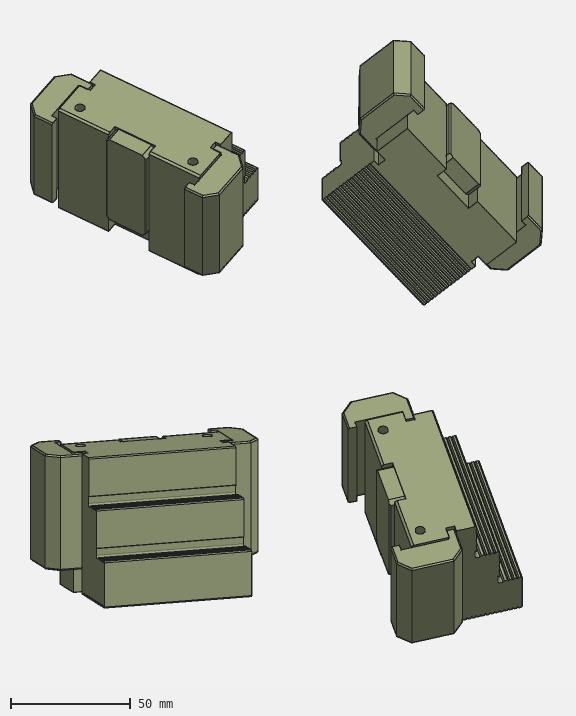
import cadquery as cq
import math

BODY_DEPTH = 48.9
BODY_HEIGHT = 60.0
BODY_WIDTH = 70.0
REAR_WIDTH = 65.0
STEP_DEPTH = 10.0
STEP_HEIGHT = BODY_HEIGHT / 3
STEP_COUNT = 2
EDGE_CHAMFER = 0.6
FRONT_CHAMFER_DEPTH = 1.1
FRONT_CHAMFER_DROP = 0.7

GROOVE_PITCH = STEP_DEPTH / 5
GROOVE_WIDTH = 1.0
GROOVE_DEPTH = 0.75
STEP_GROOVES = 3
BASE_GROOVES = 13

RELIEF_START = 7.7
RELIEF_SLANT = 0.7
RELIEF_UNDERCUT = 0.6
RELIEF_RISE = 3.4
RELIEF_RADIUS = 1.1

NOTCH_SPAN = 59.7
NOTCH_FRONT = 16.6
NOTCH_BACK = 20.3
HOLE_DIAMETER = 4.1
HOLE_SPACING = 56.1
HOLE_FRONT_DISTANCE = 5.9
HOLE_DEPTH = 2 * HOLE_DIAMETER
DRILL_POINT_ANGLE = 118

SLOT_WIDTH = 20.0
SLOT_DEPTH = 4.9
KEY_FRONT = -2.2
KEY_TOP = 59.5
KEY_HEIGHT = 49.1
KEY_CORNER_CHAMFER = 1.9
KEY_EDGE_CHAMFER = 0.6

PLATE_DEPTH = 28.5
PLATE_TOP = 59.7
PLATE_HEIGHT = 49.1
PLATE_CORNER_CHAMFER = 5.1
PLATE_EDGE_CHAMFER = 0.7
LUG_REACH = 16.0
LIP_REACH = 14.0
WEB_THICKNESS = 11.4
LUG_THICKNESS = 4.1
LIP_THICKNESS = 3.8
PLATE_OUTER = 47.05
LEFT_BACK = 20.7
RIGHT_BACK = 20.2


def extrude_along_x(points, width):
    """Prism of a (Y, Z) outline, centred on X = 0."""
    return cq.Workplane("YZ").polyline(points).close().extrude(width / 2, both=True)


def step_corner(level):
    """Y of the rear face and Z of the tread for a step counted from the bottom."""
    return BODY_DEPTH - level * STEP_DEPTH, (level + 1) * STEP_HEIGHT


def stepped_prism():
    """Body silhouette with chamfered rear corners, extruded to the full width."""
    points = [(0, 0), (BODY_DEPTH - EDGE_CHAMFER, 0), (BODY_DEPTH, EDGE_CHAMFER)]
    for level in range(STEP_COUNT + 1):
        rear, tread = step_corner(level)
        points += [(rear, tread - EDGE_CHAMFER), (rear - EDGE_CHAMFER, tread)]
        if level < STEP_COUNT:
            points.append((rear - STEP_DEPTH, tread))
    points += [(FRONT_CHAMFER_DEPTH, BODY_HEIGHT), (0, BODY_HEIGHT - FRONT_CHAMFER_DROP)]
    return extrude_along_x(points, BODY_WIDTH)


def cut_grooves(body, rear, level, inward, count):
    """Row of V grooves in a horizontal face; inward is +1 or -1 along Z."""
    for index in range(1, count + 1):
        centre = rear - index * GROOVE_PITCH
        groove = [
            (centre - GROOVE_WIDTH / 2, level),
            (centre, level + inward * GROOVE_DEPTH),
            (centre + GROOVE_WIDTH / 2, level),
        ]
        body = body.cut(extrude_along_x(groove, BODY_WIDTH))
    return body


def cut_relief(body, rear, tread):
    """Undercut at the foot of the wall that rises from a tread."""
    mouth = rear - RELIEF_START
    wall = rear - STEP_DEPTH - RELIEF_UNDERCUT
    floor = tread - GROOVE_DEPTH
    relief = extrude_along_x(
        [
            (mouth, tread),
            (mouth - RELIEF_SLANT, floor),
            (wall, floor),
            (wall, tread + RELIEF_RISE),
            (rear - STEP_DEPTH, tread + RELIEF_RISE),
            (rear - STEP_DEPTH, tread),
        ],
        BODY_WIDTH,
    )
    relief = relief.edges("|X").edges("<Y").edges("<Z").fillet(RELIEF_RADIUS)
    return body.cut(relief)


def cut_sides(body):
    """Narrow the stepped rear part and cut the notches that take the plate lugs."""
    for side in (-1, 1):
        for span, front, back in (
            (REAR_WIDTH, NOTCH_FRONT, BODY_DEPTH),
            (NOTCH_SPAN, NOTCH_FRONT, NOTCH_BACK),
        ):
            thickness = (BODY_WIDTH - span) / 2
            size = (thickness, back - front, BODY_HEIGHT)
            waste = cq.Workplane("XY").box(*size, centered=(True, False, False))
            body = body.cut(waste.translate((side * (span + thickness) / 2, front, 0)))
    return body


def drill_holes(body):
    """Blind holes with conical bottoms in the top face."""
    radius = HOLE_DIAMETER / 2
    tip_length = radius / math.tan(math.radians(DRILL_POINT_ANGLE / 2))
    half_section = [(0, -tip_length), (radius, 0), (radius, HOLE_DEPTH), (0, HOLE_DEPTH)]
    drill = cq.Workplane("XZ").polyline(half_section).close().revolve(360, (0, 0, 0), (0, 1, 0))
    for side in (-1, 1):
        place = (side * HOLE_SPACING / 2, HOLE_FRONT_DISTANCE, BODY_HEIGHT - HOLE_DEPTH)
        body = body.cut(drill.translate(place))
    return body


def make_body():
    """Stepped jaw with grooved faces, side notches, front slot and blind holes."""
    body = stepped_prism()
    for level in range(STEP_COUNT):
        rear, tread = step_corner(level)
        body = cut_grooves(body, rear, tread, -1, STEP_GROOVES)
        body = cut_relief(body, rear, tread)
    body = cut_grooves(body, BODY_DEPTH, 0, 1, BASE_GROOVES)
    body = cut_sides(body)
    slot = cq.Workplane("XY").box(SLOT_WIDTH, 2 * SLOT_DEPTH, BODY_HEIGHT, centered=(True, True, False))
    return drill_holes(body.cut(slot))


def make_key():
    """Block seated in the front slot, with cut corners and chamfered front side edges."""
    depth = SLOT_DEPTH - KEY_FRONT
    key = cq.Workplane("XY").box(SLOT_WIDTH, depth, KEY_HEIGHT, centered=(True, False, False))
    key = key.edges("|Y").chamfer(KEY_CORNER_CHAMFER)
    key = key.faces("<Y").edges("|Z").chamfer(KEY_EDGE_CHAMFER)
    return key.translate((0, KEY_FRONT, KEY_TOP - KEY_HEIGHT))


def make_plate(back):
    """Clamp plate on the -X side with its rear face at Y = back."""
    outer = -PLATE_OUTER
    front = back - PLATE_DEPTH
    corner = PLATE_CORNER_CHAMFER
    outline = [
        (outer, front + corner),
        (outer + corner, front),
        (outer + LIP_REACH, front),
        (outer + LIP_REACH, front + LIP_THICKNESS),
        (outer + WEB_THICKNESS, front + LIP_THICKNESS),
        (outer + WEB_THICKNESS, back - LUG_THICKNESS),
        (outer + LUG_REACH, back - LUG_THICKNESS),
        (outer + LUG_REACH, back),
        (outer + corner, back),
        (outer, back - corner),
    ]
    base = PLATE_TOP - PLATE_HEIGHT
    plate = cq.Workplane("XY").workplane(offset=base).polyline(outline).close().extrude(PLATE_HEIGHT)
    rear_and_front = plate.faces("<Y or >Y").edges("<Z or >Z")
    side = plate.edges("<X or <(1,1,0) or <(1,-1,0)").edges("<Z or >Z")
    return rear_and_front.add(side).chamfer(PLATE_EDGE_CHAMFER)


left_plate = make_plate(LEFT_BACK)
right_plate = make_plate(RIGHT_BACK).mirror("YZ")
result = make_body().union(make_key()).union(left_plate).union(right_plate)